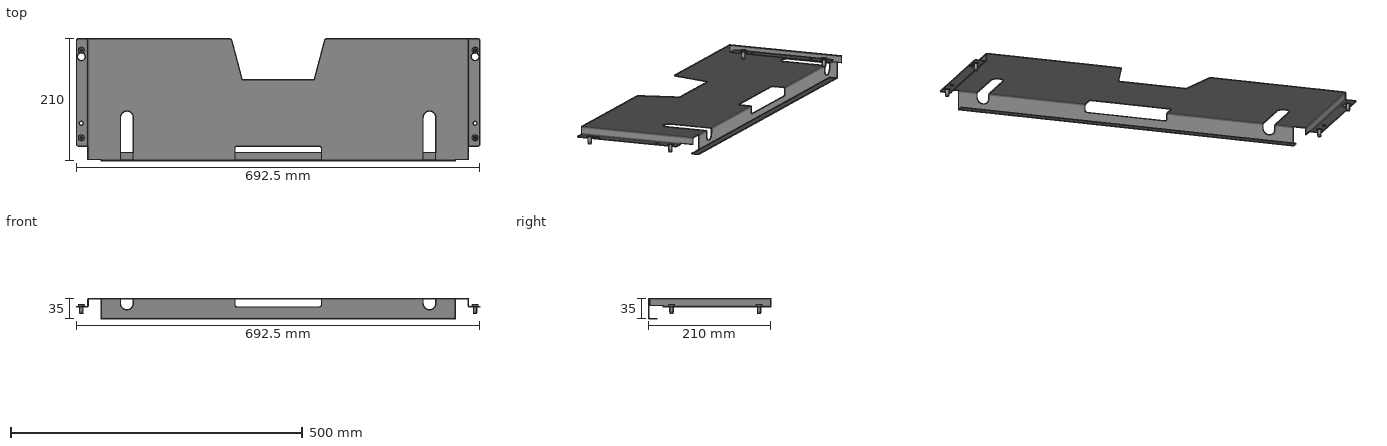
import cadquery as cq

OVERALL_X = 692.5
OVERALL_Y = 210.0
OVERALL_Z = 35.0

SHEET = 1.0
BEND_INNER = 1.0
BEND_OUTER = BEND_INNER + SHEET

RAIL_WIDTH = 19.5
RAIL_DROP = 14.5
RAIL_FRONT_GAP = 25.0
RAIL_CORNER_ROUND = 3.5

APRON_WIDTH = 608.0
LIP_LENGTH = 14.5

SLOT_SPACING = 519.5
SLOT_WIDTH = 21.5
SLOT_LENGTH = 85.0
SLOT_DROP = 19.5
WINDOW_WIDTH = 148.0
WINDOW_LENGTH = 25.0
WINDOW_DROP = 14.5
WINDOW_ROUND = 3.5

NOTCH_MOUTH = 161.0
NOTCH_FLOOR = 123.0
NOTCH_DEPTH = 70.5
NOTCH_MOUTH_ROUND = 5.0

HOLE_INSET = 8.0
SCREW_SETBACKS = (20.0, 170.5)
LARGE_HOLE_SETBACK = 31.0
LARGE_HOLE_DIAMETER = 13.0
SMALL_HOLE_SETBACK = 145.5
SMALL_HOLE_DIAMETER = 6.0

SHANK_DIAMETER = 6.0
SHANK_LENGTH = 12.5
TIP_LENGTH = 3.0
TIP_INSET = 1.0
HEAD_DIAMETER = 10.5
HEAD_HEIGHT = 3.5
HEAD_ROUND = 2.0
RECESS_LENGTH = 4.0
RECESS_WIDTH = 1.5
RECESS_DEPTH = 2.0

END_X = OVERALL_X / 2
WEB_X = END_X - RAIL_WIDTH
BACK_Y = OVERALL_Y / 2
FRONT_Y = -BACK_Y
DECK_FRONT_Y = FRONT_Y + BEND_OUTER
RAIL_FRONT_Y = FRONT_Y + RAIL_FRONT_GAP
RAIL_TOP_Z = SHEET - RAIL_DROP
WEB_FOOT_Z = BEND_OUTER - RAIL_DROP
HOLE_X = END_X - HOLE_INSET
SIDES = (-1, 1)


def round_edges(body, points, radius):
    """Fillet the edge whose middle lies nearest to each point."""
    for point in points:
        body = body.edges(cq.NearestToPointSelector(point)).fillet(radius)
    return body


def make_deck_with_rails():
    """Deck with a web and rail along each end, all bent from one strip."""
    web_inner_x = WEB_X - SHEET
    half_outline = [
        (WEB_X, 0),
        (WEB_X, RAIL_TOP_Z),
        (END_X, RAIL_TOP_Z),
        (END_X, -RAIL_DROP),
        (web_inner_x, -RAIL_DROP),
        (web_inner_x, -SHEET),
    ]
    mirrored = [(-x, z) for x, z in reversed(half_outline)]
    length = BACK_Y - DECK_FRONT_Y
    body = (
        cq.Workplane("XZ", origin=(0, BACK_Y, 0))
        .polyline(half_outline + mirrored)
        .close()
        .extrude(length)
    )
    middle_y = (BACK_Y + DECK_FRONT_Y) / 2
    for side in SIDES:
        outer_bends = [(side * WEB_X, middle_y, 0), (side * web_inner_x, middle_y, -RAIL_DROP)]
        inner_bends = [(side * WEB_X, middle_y, RAIL_TOP_Z), (side * web_inner_x, middle_y, -SHEET)]
        body = round_edges(body, outer_bends, BEND_OUTER)
        body = round_edges(body, inner_bends, BEND_INNER)

    relief = (
        cq.Workplane("XY")
        .box(OVERALL_X, RAIL_FRONT_GAP, RAIL_DROP, centered=(True, False, False))
        .translate((0, FRONT_Y, WEB_FOOT_Z - RAIL_DROP))
    )
    body = body.cut(relief)

    rail_middle_z = RAIL_TOP_Z - SHEET / 2
    corners = [(side * END_X, y, rail_middle_z) for side in SIDES for y in (RAIL_FRONT_Y, BACK_Y)]
    return round_edges(body, corners, RAIL_CORNER_ROUND)


def make_apron():
    """C-shaped strip: a margin that merges into the deck, the upright apron and the backward lip."""
    lip_end_y = FRONT_Y + LIP_LENGTH
    inner_y = FRONT_Y + SHEET
    outline = [
        (lip_end_y, 0),
        (FRONT_Y, 0),
        (FRONT_Y, -OVERALL_Z),
        (lip_end_y, -OVERALL_Z),
        (lip_end_y, SHEET - OVERALL_Z),
        (inner_y, SHEET - OVERALL_Z),
        (inner_y, -SHEET),
        (lip_end_y, -SHEET),
    ]
    body = cq.Workplane("YZ").polyline(outline).close().extrude(APRON_WIDTH / 2, both=True)
    body = body.edges("|X and <Y").fillet(BEND_OUTER)
    inner_bends = [(0, inner_y, -SHEET), (0, inner_y, SHEET - OVERALL_Z)]
    return round_edges(body, inner_bends, BEND_INNER)


def make_slot_outline(length):
    """Round-ended slot reaching the given length to either side of its centre."""
    return cq.Sketch().slot(2 * length - SLOT_WIDTH, SLOT_WIDTH, angle=90)


def make_window_outline(length):
    """Rectangle with rounded corners reaching the given length to either side of its centre."""
    return cq.Sketch().rect(WINDOW_WIDTH, 2 * length).vertices().fillet(WINDOW_ROUND)


def make_front_opening(center_x, deck_outline, apron_outline):
    """Cutter that runs through the deck, round the front bend and down the apron."""
    deck_cut = (
        cq.Workplane("XY", origin=(center_x, FRONT_Y, 0))
        .placeSketch(deck_outline)
        .extrude(-BEND_OUTER)
    )
    apron_cut = (
        cq.Workplane("XZ", origin=(center_x, FRONT_Y, 0))
        .placeSketch(apron_outline)
        .extrude(-BEND_OUTER)
    )
    return deck_cut.union(apron_cut)


def make_notch():
    """Cutter for the tapered notch in the back edge."""
    floor_y = BACK_Y - NOTCH_DEPTH
    return (
        cq.Workplane("XY")
        .polyline([
            (-NOTCH_MOUTH / 2, BACK_Y),
            (-NOTCH_FLOOR / 2, floor_y),
            (NOTCH_FLOOR / 2, floor_y),
            (NOTCH_MOUTH / 2, BACK_Y),
        ])
        .close()
        .extrude(-SHEET)
    )


def make_rail_holes(setback, diameter):
    """Cutters for one hole through each rail, at the given distance from the back edge."""
    return (
        cq.Workplane("XY", origin=(0, BACK_Y - setback, -RAIL_DROP))
        .pushPoints([(side * HOLE_X, 0) for side in SIDES])
        .circle(diameter / 2)
        .extrude(SHEET)
    )


def make_shelf():
    """The bent sheet-metal shelf with all its openings."""
    shelf = make_deck_with_rails().union(make_apron())
    slot_outlines = [make_slot_outline(SLOT_LENGTH), make_slot_outline(SLOT_DROP)]
    window_outlines = [make_window_outline(WINDOW_LENGTH), make_window_outline(WINDOW_DROP)]
    for side in SIDES:
        shelf = shelf.cut(make_front_opening(side * SLOT_SPACING / 2, *slot_outlines))
    shelf = shelf.cut(make_front_opening(0, *window_outlines))
    shelf = shelf.cut(make_notch())
    mouth_corners = [(side * NOTCH_MOUTH / 2, BACK_Y, -SHEET / 2) for side in SIDES]
    shelf = round_edges(shelf, mouth_corners, NOTCH_MOUTH_ROUND)
    for setback in SCREW_SETBACKS:
        shelf = shelf.cut(make_rail_holes(setback, SHANK_DIAMETER))
    shelf = shelf.cut(make_rail_holes(LARGE_HOLE_SETBACK, LARGE_HOLE_DIAMETER))
    return shelf.cut(make_rail_holes(SMALL_HOLE_SETBACK, SMALL_HOLE_DIAMETER))


def make_screw(x, y):
    """Pan-head screw whose head rests on the rail and whose shank passes through it."""
    head = (
        cq.Workplane("XY")
        .circle(HEAD_DIAMETER / 2)
        .extrude(HEAD_HEIGHT)
        .faces(">Z")
        .edges()
        .fillet(HEAD_ROUND)
    )
    shank_radius = SHANK_DIAMETER / 2
    shank = (
        cq.Workplane("XZ")
        .polyline([
            (0, 0),
            (shank_radius, 0),
            (shank_radius, TIP_LENGTH - SHANK_LENGTH),
            (shank_radius - TIP_INSET, -SHANK_LENGTH),
            (0, -SHANK_LENGTH),
        ])
        .close()
        .revolve(axisStart=(0, 0), axisEnd=(0, 1))
    )
    recess = (
        cq.Workplane("XY", origin=(0, 0, HEAD_HEIGHT))
        .rect(RECESS_LENGTH, RECESS_WIDTH)
        .extrude(-RECESS_DEPTH)
    )
    recess = recess.union(recess.rotate((0, 0, 0), (0, 0, 1), 90))
    return head.union(shank).cut(recess).translate((x, y, RAIL_TOP_Z))


shelf = make_shelf()
screws = [
    make_screw(side * HOLE_X, BACK_Y - setback)
    for side in SIDES
    for setback in SCREW_SETBACKS
]

result = cq.Compound.makeCompound([shelf.val(), *[screw.val() for screw in screws]])